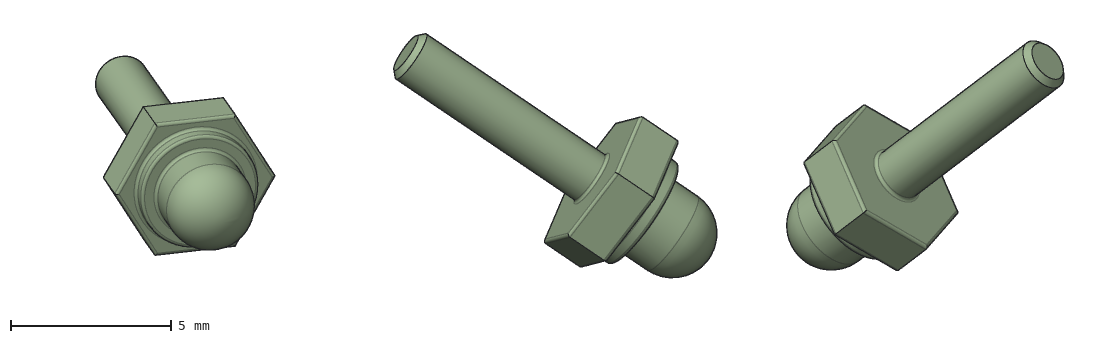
import cadquery as cq
import math

total_length = 11.65
nut_thickness = 1.5
collar_thickness = 0.5
shank_length = 7.15

shank_diameter = 1.7
collar_diameter = 3.8
plunger_diameter = 2.8
nut_across_flats = 4.5

edge_radius = 0.1
tip_chamfer = 0.2

shank_radius = shank_diameter / 2
collar_radius = collar_diameter / 2
plunger_radius = plunger_diameter / 2
collar_end = nut_thickness + collar_thickness
dome_tip = total_length - shank_length
dome_start = dome_tip - plunger_radius
arc_middle = edge_radius * (1 - math.sqrt(0.5))
dome_middle = plunger_radius * math.sqrt(0.5)


def make_turned_body():
    """Shank, collar and domed plunger, revolved about X with their edge rounds."""
    profile = (
        cq.Workplane("XY")
        .moveTo(-shank_length, 0)
        .lineTo(-shank_length, shank_radius - tip_chamfer)
        .lineTo(-shank_length + tip_chamfer, shank_radius)
        .lineTo(-edge_radius, shank_radius)
        .threePointArc(
            (-arc_middle, shank_radius + arc_middle),
            (0, shank_radius + edge_radius),
        )
        .lineTo(0, collar_radius + edge_radius)
        .lineTo(nut_thickness, collar_radius + edge_radius)
        .threePointArc(
            (nut_thickness + arc_middle, collar_radius + arc_middle),
            (nut_thickness + edge_radius, collar_radius),
        )
        .lineTo(collar_end - edge_radius, collar_radius)
        .threePointArc(
            (collar_end - arc_middle, collar_radius - arc_middle),
            (collar_end, collar_radius - edge_radius),
        )
        .lineTo(collar_end, plunger_radius + edge_radius)
        .threePointArc(
            (collar_end + arc_middle, plunger_radius + arc_middle),
            (collar_end + edge_radius, plunger_radius),
        )
        .lineTo(dome_start, plunger_radius)
        .threePointArc((dome_start + dome_middle, dome_middle), (dome_tip, 0))
        .close()
    )
    return profile.revolve(360, (0, 0, 0), (1, 0, 0))


def make_hex_nut():
    """Hexagon with corners on +Y and -Y and both face outlines rounded."""
    across_corners = nut_across_flats / math.cos(math.pi / 6)
    return (
        cq.Workplane("YZ")
        .polygon(6, across_corners)
        .extrude(nut_thickness)
        .faces("<X or >X")
        .edges()
        .fillet(edge_radius)
    )


result = make_hex_nut().union(make_turned_body())